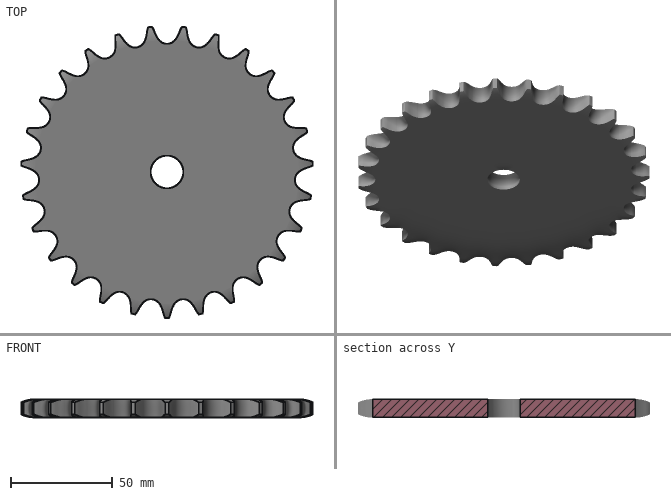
import cadquery as cq
import math

tooth_count = 27
chain_pitch = 15.875
roller_diameter = 10.16
outer_diameter = 144.0
thickness = 9.1
bore_diameter = 16.0
relief_depth = 7.0
relief_radius = chain_pitch
cutter_overrun = 3.0

half_tooth_angle = math.pi / tooth_count
pitch_radius = chain_pitch / 2 / math.sin(half_tooth_angle)
outer_radius = outer_diameter / 2
clear_radius = outer_radius + cutter_overrun

seat_radius = (1.005 * roller_diameter + 0.0762) / 2
seat_angle = math.radians(35 + 60 / tooth_count)
working_angle = math.radians(18 - 56 / tooth_count)
topping_angle = math.radians(17 - 64 / tooth_count)
flank_angle = seat_angle - working_angle
working_center_offset = 0.8 * roller_diameter
topping_center_offset = 1.4 * roller_diameter
working_radius = working_center_offset + seat_radius
straight_length = (
    topping_center_offset * math.sin(topping_angle)
    - working_center_offset * math.sin(working_angle)
)


def polar(center, radius, angle):
    """Point at a radius and angle from a center."""
    return (center[0] + radius * math.cos(angle), center[1] + radius * math.sin(angle))


def mirrored(point):
    """Point reflected across the Y axis."""
    return (-point[0], point[1])


def tooth_gap():
    """Cutter for the gap centered on +Y: seat, working, straight and topping stretches."""
    seat_center = (0, pitch_radius)
    seat_bottom = (0, pitch_radius - seat_radius)
    working_center = polar(seat_center, working_center_offset, math.pi - seat_angle)
    topping_center = polar(seat_center, topping_center_offset, -half_tooth_angle)

    seat_end = polar(seat_center, seat_radius, -seat_angle)
    working_mid = polar(working_center, working_radius, -(seat_angle + flank_angle) / 2)
    working_end = polar(working_center, working_radius, -flank_angle)
    straight_end = polar(working_end, straight_length, math.pi / 2 - flank_angle)

    topping_radius = math.dist(topping_center, straight_end)
    topping_start_angle = math.pi - flank_angle
    topping_end_angle = math.pi - math.asin((clear_radius - topping_center[1]) / topping_radius)
    topping_mid_angle = (topping_start_angle + topping_end_angle) / 2
    topping_mid = polar(topping_center, topping_radius, topping_mid_angle)
    topping_end = polar(topping_center, topping_radius, topping_end_angle)

    return (
        cq.Workplane("XY")
        .moveTo(*mirrored(seat_end))
        .threePointArc(seat_bottom, seat_end)
        .threePointArc(working_mid, working_end)
        .lineTo(*straight_end)
        .threePointArc(topping_mid, topping_end)
        .lineTo(*mirrored(topping_end))
        .threePointArc(mirrored(topping_mid), mirrored(straight_end))
        .lineTo(*mirrored(working_end))
        .threePointArc(mirrored(working_mid), mirrored(seat_end))
        .close()
        .extrude(thickness)
    )


def blank():
    """Disc with its bore, both faces rounded down toward the rim."""
    relief_start = outer_radius - relief_depth
    bore_radius = bore_diameter / 2
    relief_angle = math.asin(relief_depth / relief_radius)
    top_center = (relief_start, thickness - relief_radius)
    bottom_center = (relief_start, relief_radius)
    return (
        cq.Workplane("XZ")
        .moveTo(bore_radius, 0)
        .lineTo(relief_start, 0)
        .threePointArc(
            polar(bottom_center, relief_radius, (relief_angle - math.pi) / 2),
            polar(bottom_center, relief_radius, relief_angle - math.pi / 2),
        )
        .lineTo(*polar(top_center, relief_radius, math.pi / 2 - relief_angle))
        .threePointArc(
            polar(top_center, relief_radius, (math.pi - relief_angle) / 2),
            (relief_start, thickness),
        )
        .lineTo(bore_radius, thickness)
        .close()
        .revolve(360, (0, 0, 0), (0, 1, 0))
    )


def sprocket():
    """Blank with every tooth gap cut; one gap lies on +Y and one tooth on -Y."""
    gap = tooth_gap()
    body = blank()
    for index in range(tooth_count):
        gap_angle = index * 360 / tooth_count
        body = body.cut(gap.rotate((0, 0, 0), (0, 0, 1), gap_angle))
    return body


result = sprocket()